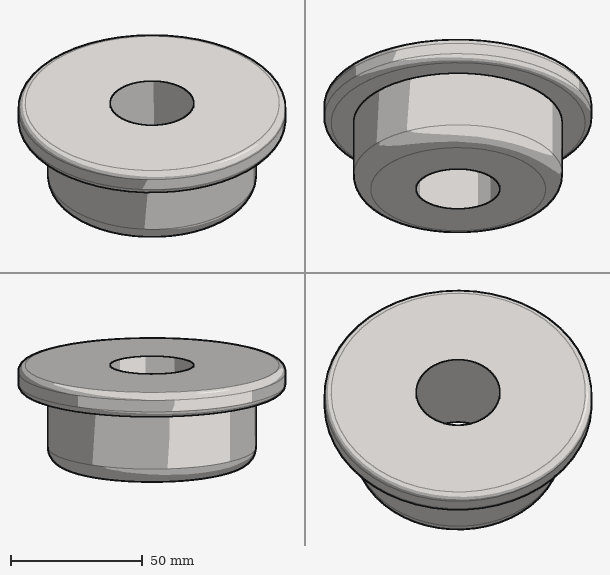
import cadquery as cq

flange_diameter = 101.6
flange_thickness = 9.5
flange_rounding = 2.5
hub_diameter = 79.2
hub_rounding = 6.4
bore_diameter = 31.8
total_height = 38.1

hub_height = total_height - flange_thickness


def make_hub():
    """Cylindrical hub standing on Z = 0 with a rounded lower rim."""
    hub = cq.Workplane("XY").circle(hub_diameter / 2).extrude(hub_height)
    return hub.faces("<Z").edges().fillet(hub_rounding)


def make_flange():
    """Disc on top of the hub with both rims rounded."""
    flange = cq.Workplane("XY").workplane(offset=hub_height)
    flange = flange.circle(flange_diameter / 2).extrude(flange_thickness)
    return flange.faces("<Z or >Z").edges().fillet(flange_rounding)


bore = cq.Workplane("XY").circle(bore_diameter / 2).extrude(total_height)

result = make_hub().union(make_flange()).cut(bore)